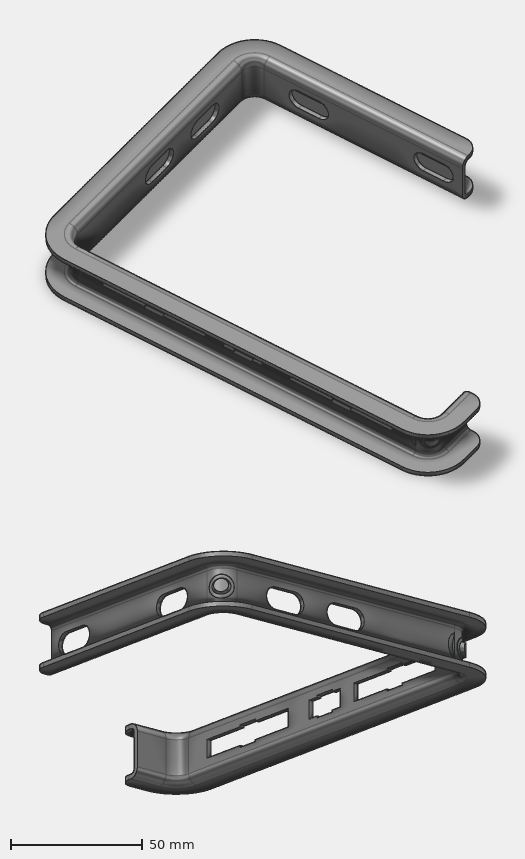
import cadquery as cq
import math

length = 192.0
width = 142.0
height = 22.0
top_arm_end = 109.8
hook_end = 31.3

sheet = 2.0
web_offset = 9.0
inner_bend = 2.0
outer_bend = inner_bend + sheet
corner_radius = 17.0
flange_end_radius = 6.0

slot_length = 18.5
slot_height = 9.0
side_slot_pitch = 30.0
back_slot_places = (38.0, 96.4)
narrow_slot_height = 7.5
long_slot_length = 48.2
long_slot_spacing = 87.5
short_slot_place = 93.9
notch_length = 8.8

collar_radius = 4.8
collar_rise = 0.2
stud_root_radius = 4.5
stud_top_radius = 2.7
stud_rise = 1.5

hollow_radius = 6.0
hollow_floor_radius = 2.5
hollow_depth = 1.3
hollow_setback = 2.9

half_height = height / 2
web_inside = web_offset + sheet
web_corner_radius = corner_radius - web_offset
half_bend_angle = 45


def make_channel():
    """Sweep the channel section along the outer edge of the flanges."""
    far_x = length - corner_radius
    far_y = width - corner_radius
    mid_arc = corner_radius * (1 - math.cos(math.radians(half_bend_angle)))
    path = (
        cq.Workplane("XY")
        .moveTo(top_arm_end, width)
        .lineTo(corner_radius, width)
        .threePointArc((mid_arc, width - mid_arc), (0, far_y))
        .lineTo(0, corner_radius)
        .threePointArc((mid_arc, mid_arc), (corner_radius, 0))
        .lineTo(far_x, 0)
        .threePointArc((length - mid_arc, mid_arc), (length, corner_radius))
        .lineTo(length, hook_end)
    )
    end_plane = cq.Plane(origin=(top_arm_end, width, 0), xDir=(0, -1, 0), normal=(-1, 0, 0))
    bend_start = web_inside - outer_bend
    bend_end = half_height - outer_bend
    flange_inside = half_height - sheet
    section = (
        cq.Workplane(end_plane)
        .moveTo(0, half_height)
        .lineTo(bend_start, half_height)
        .tangentArcPoint((web_inside, bend_end), relative=False)
        .lineTo(web_inside, -bend_end)
        .tangentArcPoint((bend_start, -half_height), relative=False)
        .lineTo(0, -half_height)
        .lineTo(0, -flange_inside)
        .lineTo(bend_start, -flange_inside)
        .tangentArcPoint((web_offset, -bend_end), relative=False)
        .lineTo(web_offset, bend_end)
        .tangentArcPoint((bend_start, flange_inside), relative=False)
        .lineTo(0, flange_inside)
        .close()
    )
    return section.sweep(path)


def round_flange_ends(channel):
    """Round the outer corners of both flanges at the two free ends."""
    for end in ((top_arm_end, width), (length, hook_end)):
        low = (end[0] - sheet, end[1] - sheet, -height)
        high = (end[0] + sheet, end[1] + sheet, height)
        corner_edges = channel.edges("|Z").edges(cq.selectors.BoxSelector(low, high))
        channel = corner_edges.fillet(flange_end_radius)
    return channel


def slot_cutter(plane, center):
    """Round-ended slot, cut through a web lying close to the plane."""
    return (
        cq.Workplane(plane)
        .center(center, 0)
        .slot2D(slot_length, slot_height)
        .extrude(web_inside + sheet, both=True)
    )


def notched_slot_cutter(center, slot_width):
    """Rectangular slot in the front web, taller over a short stretch at its middle."""
    cut_depth = web_inside + sheet
    narrow = cq.Workplane("XZ").center(center, 0).rect(slot_width, narrow_slot_height)
    notch = cq.Workplane("XZ").center(center, 0).rect(notch_length, slot_height)
    return narrow.extrude(cut_depth, both=True).union(notch.extrude(cut_depth, both=True))


def raised_disc(root_radius, top_radius, rise):
    """Disc on a bend centered on the origin, along +X, with its top concentric with the bend."""
    root = math.sqrt((web_corner_radius - sheet / 2) ** 2 - root_radius**2)
    top = web_corner_radius + rise
    blank = (
        cq.Workplane("YZ", origin=(root, 0, 0))
        .circle(root_radius)
        .workplane(offset=top - root)
        .circle(top_radius)
        .loft()
    )
    sleeve = (
        cq.Workplane("XY")
        .circle(top)
        .circle(web_corner_radius - sheet / 2)
        .extrude(half_height, both=True)
    )
    return blank.intersect(sleeve)


def make_button():
    """Collar and stud together."""
    collar = raised_disc(collar_radius, collar_radius, collar_rise)
    return collar.union(raised_disc(stud_root_radius, stud_top_radius, stud_rise))


def hollow_cutter():
    """Pair of hollows beside a bend centered on the origin whose diagonal points along +X."""
    cone = (
        cq.Workplane("YZ", origin=(web_corner_radius, -hollow_setback, 0))
        .circle(hollow_radius)
        .workplane(offset=-hollow_depth)
        .circle(hollow_floor_radius)
        .loft()
    )
    flat_side = cq.Workplane("XY").box(height, height, height, centered=(True, False, True))
    hollow = cone.intersect(flat_side).rotate((0, 0, 0), (0, 0, 1), half_bend_angle)
    return hollow.union(hollow.mirror("XZ"))


channel = round_flange_ends(make_channel())

for y in (width / 2, width / 2 + side_slot_pitch):
    channel = channel.cut(slot_cutter("YZ", y))

back_plane = cq.Plane(origin=(0, width, 0), xDir=(1, 0, 0), normal=(0, -1, 0))
for x in back_slot_places:
    channel = channel.cut(slot_cutter(back_plane, x))

for side in (-1, 1):
    x = (length + side * long_slot_spacing) / 2
    channel = channel.cut(notched_slot_cutter(x, long_slot_length))
channel = channel.cut(notched_slot_cutter(short_slot_place, slot_length))

front_bends = (
    ((corner_radius, corner_radius), 225),
    ((length - corner_radius, corner_radius), 315),
)
back_bend = ((corner_radius, width - corner_radius), 135)

for center, angle in front_bends:
    hollows = hollow_cutter().rotate((0, 0, 0), (0, 0, 1), angle)
    channel = channel.cut(hollows.translate((center[0], center[1], 0)))

for center, angle in (*front_bends, back_bend):
    button = make_button().rotate((0, 0, 0), (0, 0, 1), angle)
    channel = channel.union(button.translate((center[0], center[1], 0)))

result = channel